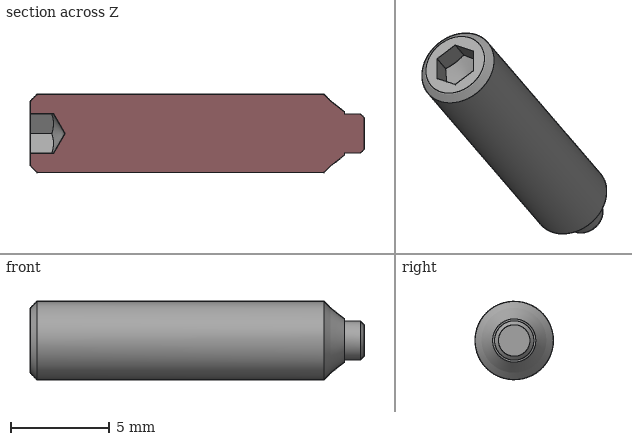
import cadquery as cq
import math

overall_length = 17.0
body_radius = 2.0

face_radius = 1.62
bevel_length = 0.04
chamfer_length = 0.31
chamfer_start_x = bevel_length
chamfer_end_x = chamfer_start_x + chamfer_length

pin_radius = 1.0
pin_length = 1.0
pin_chamfer = 0.2

nose_chamfer = 0.35
nose_cone_length = 0.7
shoulder_radius = 1.1
shoulder_x = overall_length - pin_length
nose_cone_x = shoulder_x - nose_cone_length
nose_chamfer_x = nose_cone_x - nose_chamfer

socket_across_flats = 2.0
socket_depth = 1.1
socket_floor_angle = 120.0
socket_corner_radius = socket_across_flats / math.sqrt(3)
socket_floor_depth = socket_corner_radius / math.tan(math.radians(socket_floor_angle / 2))
socket_tip_x = socket_depth + socket_floor_depth


def revolve_about_x(outline):
    """Revolve a closed (x, radius) outline about the X axis."""
    return cq.Workplane("XY").polyline(outline).close().revolve(360, (0, 0, 0), (1, 0, 0))


def make_body():
    """Body, tapered nose and pin as one turned shape."""
    return revolve_about_x([
        (0, 0),
        (0, face_radius),
        (chamfer_start_x, body_radius - chamfer_length),
        (chamfer_end_x, body_radius),
        (nose_chamfer_x, body_radius),
        (nose_cone_x, body_radius - nose_chamfer),
        (shoulder_x, shoulder_radius),
        (shoulder_x, pin_radius),
        (overall_length - pin_chamfer, pin_radius),
        (overall_length, pin_radius - pin_chamfer),
        (overall_length, 0),
    ])


def make_socket():
    """Hexagonal prism with two corners on the Z axis, ended by a conical floor."""
    prism = (
        cq.Workplane("YZ")
        .polygon(6, 2 * socket_corner_radius)
        .extrude(socket_tip_x)
        .rotate((0, 0, 0), (1, 0, 0), 90)
    )
    drilled_hole = revolve_about_x([
        (0, 0),
        (0, socket_corner_radius),
        (socket_depth, socket_corner_radius),
        (socket_tip_x, 0),
    ])
    return prism.intersect(drilled_hole)


result = make_body().cut(make_socket())